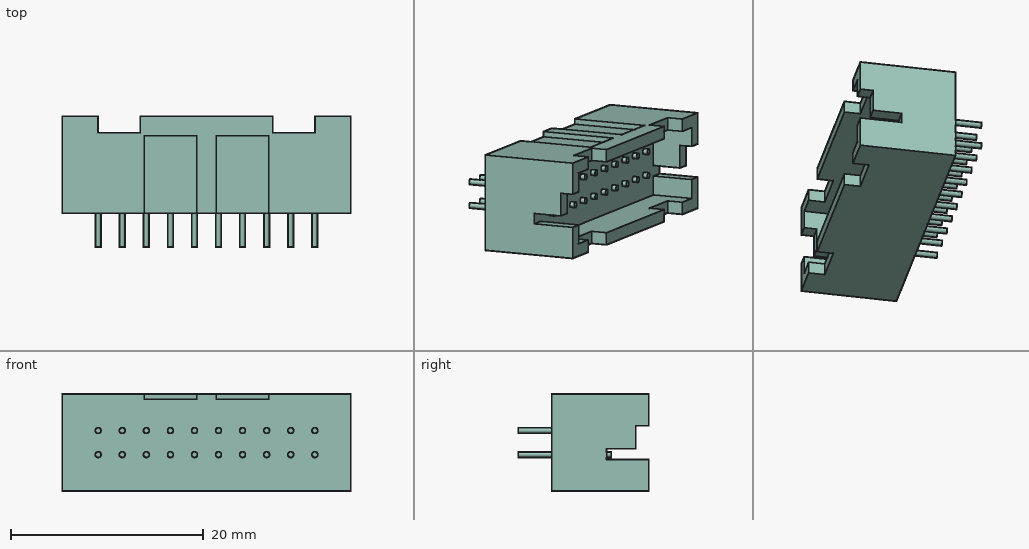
import cadquery as cq


body_length = 30.0
body_depth = 10.1
body_height = 10.1

side_wall = 1.3
end_wall = 1.5
cavity_depth = 4.4

end_step_height = 3.5
end_step_depth = 1.35
end_slot_height = 1.1

notch_width = 4.35
notch_depth = 1.7
notch_end_margin = 3.75
notch_offset = body_length / 2 - notch_end_margin - notch_width / 2

recess_width = 5.45
recess_gap = 2.05
recess_length = 8.05
recess_depth = 0.55
recess_offset = (recess_gap + recess_width) / 2

pin_columns = 10
pin_rows = 2
pin_pitch = 2.5
pin_diameter = 0.6
pin_tail = 3.5
pin_tip_setback = 3.9
pin_length = pin_tail + body_depth - pin_tip_setback


def front_cut(width, depth, height):
    """Box centred on X and Z that reaches from the front face back into the body by depth."""
    box = cq.Workplane("XY").box(width, depth, height)
    return box.translate((0, body_depth - depth / 2, 0))


def make_body():
    box = cq.Workplane("XY").box(body_length, body_depth, body_height)
    return box.translate((0, body_depth / 2, 0))


def make_cavity():
    return front_cut(body_length - 2 * end_wall, cavity_depth, body_height - 2 * side_wall)


def make_end_slots():
    """Shallow step with a deeper slot along its lower edge, running the full body length."""
    step = front_cut(body_length, end_step_depth, end_step_height)
    slot_z = (end_slot_height - end_step_height) / 2
    slot = front_cut(body_length, cavity_depth, end_slot_height).translate((0, 0, slot_z))
    return step.union(slot)


def make_notch(side):
    return front_cut(notch_width, notch_depth, body_height).translate((side * notch_offset, 0, 0))


def make_recess(side):
    box = cq.Workplane("XY").box(recess_width, recess_length, recess_depth)
    recess_z = (body_height - recess_depth) / 2
    return box.translate((side * recess_offset, recess_length / 2, recess_z))


def make_pins():
    """Grid of round pins running from the tail ends, through the cavity floor, to the tips."""
    pins = (
        cq.Workplane("XZ", origin=(0, -pin_tail, 0))
        .rarray(pin_pitch, pin_pitch, pin_columns, pin_rows)
        .circle(pin_diameter / 2)
        .extrude(-pin_length)
    )
    return pins


housing = make_body().cut(make_cavity()).cut(make_end_slots())
for side in (-1, 1):
    housing = housing.cut(make_notch(side)).cut(make_recess(side))

result = housing.union(make_pins())